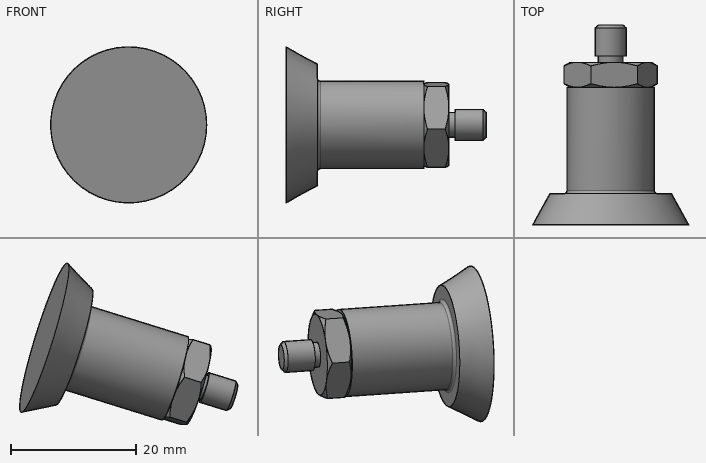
import cadquery as cq
import math

total_length = 32
base_diameter = 25.0
flange_top_diameter = 19.5
flange_height = 5.0
body_diameter = 14.0
fillet_radius = 0.5
body_top = 22.0
nut_height = 4.0
nut_across_flats = 13.0
nut_turn = -5
nut_chamfer_angle = 30
neck_diameter = 4.0
neck_height = 1.0
stud_diameter = 5.0
stud_chamfer = 0.5

nut_top = body_top + nut_height
stud_start = nut_top + neck_height
nut_across_corners = nut_across_flats / math.cos(math.radians(30))


def revolve_profile(points):
    """Revolve a closed (radius, height) outline about the Z axis."""
    return cq.Workplane("XZ").polyline(points).close().revolve(360, (0, 0), (0, 1))


def make_base_and_body():
    """Flared base and cylindrical body joined by a concave fillet."""
    body_radius = body_diameter / 2
    fillet_center = (body_radius + fillet_radius, flange_height + fillet_radius)
    fillet_reach = fillet_radius * math.sqrt(0.5)
    fillet_middle = (fillet_center[0] - fillet_reach, fillet_center[1] - fillet_reach)
    return (
        cq.Workplane("XZ")
        .lineTo(base_diameter / 2, 0)
        .lineTo(flange_top_diameter / 2, flange_height)
        .lineTo(fillet_center[0], flange_height)
        .threePointArc(fillet_middle, (body_radius, fillet_center[1]))
        .lineTo(body_radius, body_top)
        .lineTo(0, body_top)
        .close()
        .revolve(360, (0, 0), (0, 1))
    )


def make_nut():
    """Hexagon nut with conical chamfers on both faces."""
    flat_radius = nut_across_flats / 2
    corner_radius = nut_across_corners / 2
    chamfer_height = (corner_radius - flat_radius) * math.tan(math.radians(nut_chamfer_angle))
    hexagon = (
        cq.Workplane("XY", origin=(0, 0, body_top))
        .polygon(6, nut_across_corners)
        .extrude(nut_height)
        .rotate((0, 0, 0), (0, 0, 1), -nut_turn)
    )
    envelope = revolve_profile([
        (0, body_top),
        (flat_radius, body_top),
        (corner_radius, body_top + chamfer_height),
        (corner_radius, nut_top - chamfer_height),
        (flat_radius, nut_top),
        (0, nut_top),
    ])
    return hexagon.intersect(envelope)


def make_stud():
    """Undercut neck and stud with a chamfered end."""
    neck = cq.Workplane("XY", origin=(0, 0, nut_top)).circle(neck_diameter / 2).extrude(neck_height)
    stud = (
        cq.Workplane("XY", origin=(0, 0, stud_start))
        .circle(stud_diameter / 2)
        .extrude(total_length - stud_start)
        .faces(">Z")
        .chamfer(stud_chamfer)
    )
    return neck.union(stud)


upright = make_base_and_body().union(make_nut()).union(make_stud())

result = upright.rotate((0, 0, 0), (1, 0, 0), -90)